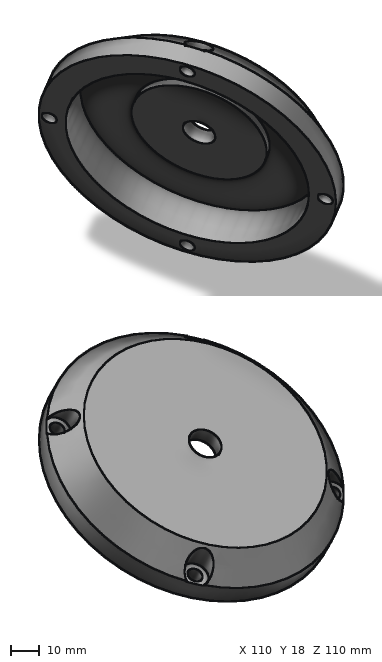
import cadquery as cq

outer_diameter = 110.0
rim_thickness = 8.0
bevel = 10.0
pocket_depth = 15.0
boss_diameter = 50.0
boss_height = 3.0
bore_diameter = 12.0
screw_hole_diameter = 5.5
screw_circle_radius = 51.0
screw_hole_count = 4
screw_seat_diameter = 10.0
screw_seat_sink = 0.3

total_depth = rim_thickness + bevel
pocket_diameter = outer_diameter - 2 * bevel
screw_seat_y = rim_thickness - screw_seat_sink


def cylinder(diameter, start_y, end_y):
    """Cylinder about the Y axis between two depths."""
    plane = cq.Workplane("XZ", origin=(0, start_y, 0))
    return plane.circle(diameter / 2).extrude(start_y - end_y)


def on_screw_circle(tool):
    """Copies of a tool spaced evenly around the screw circle."""
    first = tool.translate((screw_circle_radius, 0, 0))
    copies = cq.Workplane("XY")
    for index in range(screw_hole_count):
        angle = index * 360 / screw_hole_count
        copies = copies.add(first.rotate((0, 0, 0), (0, 1, 0), angle))
    return copies.combine()


body = cylinder(outer_diameter, 0, total_depth).faces(">Y").chamfer(bevel)

pocket = cylinder(pocket_diameter, 0, pocket_depth)
boss = cylinder(boss_diameter, pocket_depth - boss_height, pocket_depth)
body = body.cut(pocket).union(boss)

body = body.cut(cylinder(bore_diameter, 0, total_depth))

screw_holes = on_screw_circle(cylinder(screw_hole_diameter, 0, total_depth))
screw_seats = on_screw_circle(cylinder(screw_seat_diameter, screw_seat_y, total_depth))

result = body.cut(screw_holes).cut(screw_seats)